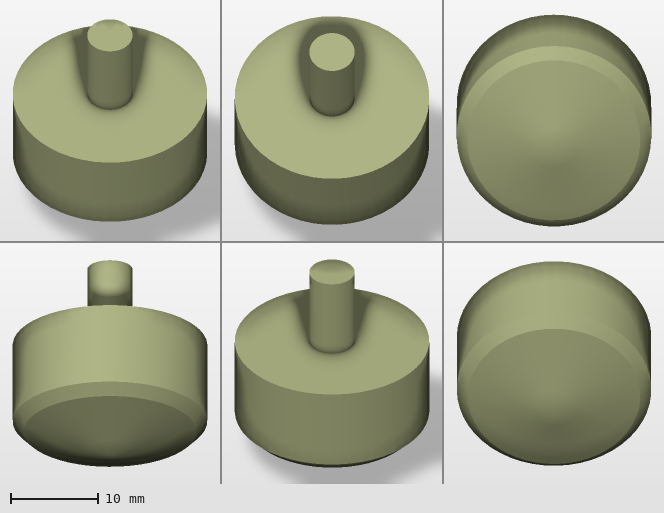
import cadquery as cq

total_height = 23.3
body_diameter = 22.3
stem_diameter = 5.2
stem_length = 9.48
chamfer = 1.25
cone_height = 2.95

body_radius = body_diameter / 2
stem_radius = stem_diameter / 2
cone_radius = body_radius - chamfer
rim_bottom = cone_height + chamfer
body_top = total_height - stem_length

profile = (
    cq.Workplane("XZ")
    .moveTo(0, 0)
    .lineTo(cone_radius, cone_height)
    .lineTo(body_radius, rim_bottom)
    .lineTo(body_radius, body_top)
    .lineTo(stem_radius, body_top)
    .lineTo(stem_radius, total_height)
    .lineTo(0, total_height)
    .close()
)

result = profile.revolve(360, (0, 0, 0), (0, 1, 0))